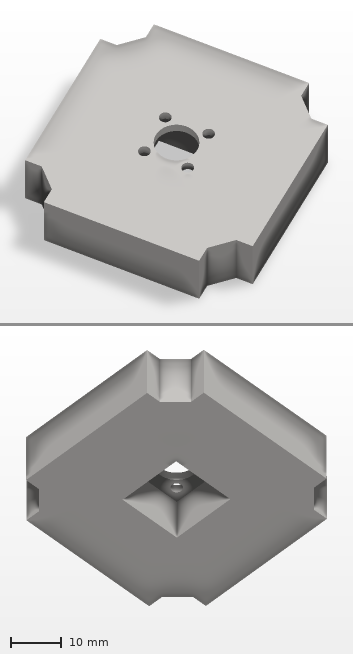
import cadquery as cq

side = 49.8
height = 12.0
edge_length = 34.0
notch_step = 3.6

centre_hole_diameter = 9.0
screw_hole_diameter = 2.5
screw_spacing = 9.5

plate_thickness = 2.0
pocket_side = 15.0


def make_block():
    """Square block standing on Z = 0, centred on the Z axis."""
    return cq.Workplane("XY").rect(side, side).extrude(height)


def make_corner_notch(angle):
    """Cutter for one corner: a square notch with its inner corner filled by a slanted face."""
    outer = side / 2
    inner = edge_length / 2
    slant_end = outer - notch_step
    outline = [
        (outer, inner),
        (slant_end, inner),
        (inner, slant_end),
        (inner, outer),
        (outer, outer),
    ]
    notch = cq.Workplane("XY").polyline(outline).close().extrude(height)
    return notch.rotate((0, 0, 0), (0, 0, 1), angle)


def make_pocket():
    """Cutter for the square pocket below the top plate."""
    pocket_depth = height - plate_thickness
    return cq.Workplane("XY").rect(pocket_side, pocket_side).extrude(pocket_depth)


def make_holes():
    """Cutters for the centre hole and the four screw holes around it."""
    centre_hole = cq.Workplane("XY").circle(centre_hole_diameter / 2).extrude(height)
    screw_holes = (
        cq.Workplane("XY")
        .rect(screw_spacing, screw_spacing, forConstruction=True)
        .vertices()
        .circle(screw_hole_diameter / 2)
        .extrude(height)
    )
    return centre_hole, screw_holes


result = make_block()
for corner_angle in (0, 90, 180, 270):
    result = result.cut(make_corner_notch(corner_angle))
result = result.cut(make_pocket())
for hole_cutter in make_holes():
    result = result.cut(hole_cutter)